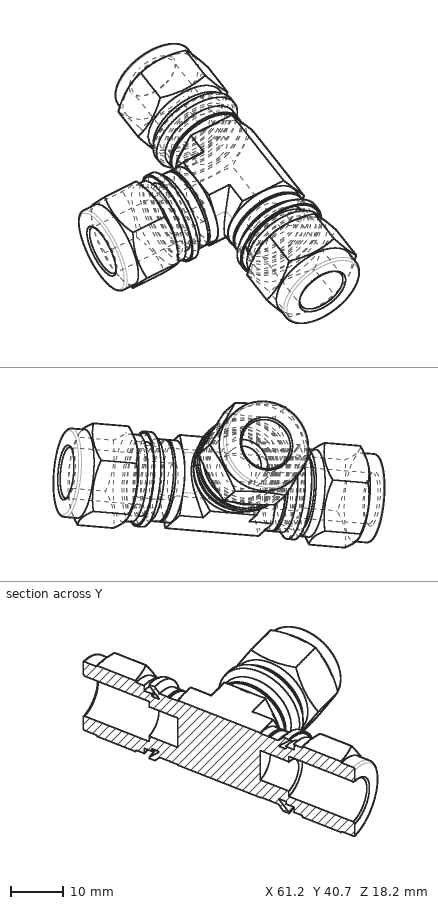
import cadquery as cq
import math

reach = 30.6

hexagon_half_angle = math.radians(30)

body_radius = 8.0
body_end = 9.3

stub_radius = 7.9
relief_radius = 7.85
relief_start = 19.1
relief_width = 0.4
flange_radius = 9.1
flange_start = 14.9
flange_width = 1.3
flange_cone_end = 17.25
dish_radius = 8.75
neck_radius = 14.25 / 2
neck_end = 15.55
shank_radius = 13.05 / 2

nut_flats = 17.5
nut_start = 3.0
nut_end = 12.0
nut_chamfer_angle = 30.0
nose_radius = 8.5
nose_fillet = 0.4
collar_radius = 8.4
collar_end = 13.8

tube_radius = 9.75 / 2
tube_depth = 14.9
mouth_chamfer = 0.35
flow_radius = 3.55
flow_depth = reach - body_end

branch_heading = -90
headings = (0, 180, branch_heading)


def revolve_about_x(points):
    """Solid of revolution about X from (x, radius) points."""
    return cq.Workplane("XY").polyline(points).close().revolve(360, (0, 0, 0), (1, 0, 0))


def turned_about_z(solid, heading):
    """Copy of a solid built along +X, turned to the given heading."""
    return solid.rotate((0, 0, 0), (0, 0, 1), heading)


def hexagon_bar(flats, start, end):
    """Hexagonal bar along X with flats facing +Z and -Z."""
    corners = flats / math.cos(hexagon_half_angle)
    return cq.Workplane("YZ").workplane(offset=start).polygon(6, corners).extrude(end - start)


def rounded_half_arm():
    """Half of a body arm along X on its -Y side, the corner rounded tangent to the flats."""
    tangent_y = -body_radius * math.cos(hexagon_half_angle)
    tangent_z = body_radius / 2
    edge_y = -body_radius * math.tan(hexagon_half_angle)
    return (
        cq.Workplane("YZ")
        .moveTo(0, -body_radius)
        .lineTo(edge_y, -body_radius)
        .lineTo(tangent_y, -tangent_z)
        .threePointArc((-body_radius, 0), (tangent_y, tangent_z))
        .lineTo(edge_y, body_radius)
        .lineTo(0, body_radius)
        .close()
        .extrude(body_end)
    )


def tee_body():
    """Run with a sharp back corner, and a branch rounded on both sides."""
    back_half = cq.Workplane("XY").box(
        2 * body_end, 2 * body_radius, 2 * body_radius, centered=(True, False, True)
    )
    back = hexagon_bar(2 * body_radius, -body_end, body_end).intersect(back_half)
    half_arm = rounded_half_arm()
    run_front = half_arm.union(half_arm.mirror("YZ"))
    branch = turned_about_z(half_arm.union(half_arm.mirror("XZ")), branch_heading)
    return back.union(run_front).union(branch)


def turned_stub():
    """Stub with a relief groove, a coned flange dished on its nut side, and a stepped neck."""
    relief_end = relief_start + relief_width
    flange_end = flange_start + flange_width
    dish_bottom = flange_start + dish_radius - shank_radius
    return revolve_about_x([
        (0, 0),
        (0, stub_radius),
        (reach - relief_end, stub_radius),
        (reach - relief_end, relief_radius),
        (reach - relief_start, relief_radius),
        (reach - relief_start, stub_radius),
        (reach - flange_cone_end, stub_radius),
        (reach - flange_end, flange_radius),
        (reach - flange_start, flange_radius),
        (reach - flange_start, dish_radius),
        (reach - dish_bottom, shank_radius),
        (reach - neck_end, shank_radius),
        (reach - neck_end, neck_radius),
        (reach - nut_end, neck_radius),
        (reach - nut_end, 0),
    ])


def nut():
    """Hexagonal nut with conically chamfered corners, a nose and a rear collar."""
    corner_radius = nut_flats / 2 / math.cos(hexagon_half_angle)
    slope = math.tan(math.radians(nut_chamfer_angle))
    front_chamfer = (corner_radius - nose_radius) * slope
    rear_chamfer = (corner_radius - collar_radius) * slope
    cone_envelope = revolve_about_x([
        (reach - nut_end, 0),
        (reach - nut_end, collar_radius),
        (reach - nut_end + rear_chamfer, corner_radius),
        (reach - nut_start - front_chamfer, corner_radius),
        (reach - nut_start, nose_radius),
        (reach - nut_start, 0),
    ])
    nose = revolve_about_x([
        (reach - nut_start, 0),
        (reach - nut_start, nose_radius),
        (reach, nose_radius),
        (reach, 0),
    ]).faces(">X").edges().fillet(nose_fillet)
    collar = revolve_about_x([
        (reach - collar_end, 0),
        (reach - collar_end, collar_radius),
        (reach - nut_end, collar_radius),
        (reach - nut_end, 0),
    ])
    hexagon = hexagon_bar(nut_flats, reach - nut_end, reach - nut_start)
    return hexagon.intersect(cone_envelope).union(nose).union(collar)


def bore():
    """Tube socket with a chamfered mouth, stepping down to the flow passage."""
    return revolve_about_x([
        (reach - flow_depth, 0),
        (reach - flow_depth, flow_radius),
        (reach - tube_depth, flow_radius),
        (reach - tube_depth, tube_radius),
        (reach - mouth_chamfer, tube_radius),
        (reach, tube_radius + mouth_chamfer),
        (reach, 0),
    ])


compression_end = turned_stub().union(nut()).cut(bore())
result = tee_body()
for heading in headings:
    result = result.union(turned_about_z(compression_end, heading))